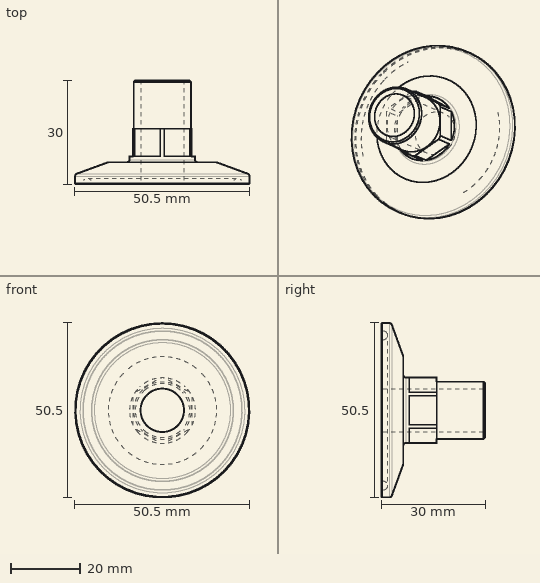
import cadquery as cq
import math


total_length = 30.0
bore_diameter = 12.5

flange_radius = 50.5 / 2
rim_height = 2.85
flange_height = 6.35
cone_angle = 20.0
rim_fillet = 0.8
face_edge_chamfer = 0.25

groove_radius = 43.5 / 2
groove_depth = 1.75
groove_wall_angle = 70.0
groove_bottom_radius = 1.25
groove_lip_radius = 0.8

collar_radius = 19.0 / 2
collar_fillet = 0.75
hex_across_flats = 17.0
hex_start = 8.0
hex_end = 16.0

spigot_radius = 16.66 / 2
spigot_chamfer = 0.5


def make_flange():
    """Disc with a conical back, a rounded rim and a chamfered face edge."""
    cone_run = (flange_height - rim_height) / math.tan(math.radians(cone_angle))
    cone_top_radius = flange_radius - cone_run

    turn = math.radians(90.0 - cone_angle)
    rim_tangent = rim_height - rim_fillet * math.tan(turn / 2)
    centre_radius = flange_radius - rim_fillet
    arc_mid = (
        rim_tangent + rim_fillet * math.sin(turn / 2),
        centre_radius + rim_fillet * math.cos(turn / 2),
    )
    arc_end = (
        rim_tangent + rim_fillet * math.sin(turn),
        centre_radius + rim_fillet * math.cos(turn),
    )
    return (
        cq.Workplane("YZ")
        .moveTo(0, 0)
        .lineTo(0, flange_radius - face_edge_chamfer)
        .lineTo(face_edge_chamfer, flange_radius)
        .lineTo(rim_tangent, flange_radius)
        .threePointArc(arc_mid, arc_end)
        .lineTo(flange_height, cone_top_radius)
        .lineTo(flange_height, 0)
        .close()
        .revolve(360, (0, 0, 0), (1, 0, 0))
    )


def make_collar():
    """Round collar with a concave fillet running out onto the flange back."""
    fillet_end = flange_height + collar_fillet
    fillet_outer = collar_radius + collar_fillet
    arc_offset = collar_fillet * (1 - math.sqrt(0.5))
    return (
        cq.Workplane("YZ")
        .moveTo(0, 0)
        .lineTo(0, fillet_outer)
        .lineTo(flange_height, fillet_outer)
        .threePointArc(
            (flange_height + arc_offset, collar_radius + arc_offset),
            (fillet_end, collar_radius),
        )
        .lineTo(hex_end, collar_radius)
        .lineTo(hex_end, 0)
        .close()
        .revolve(360, (0, 0, 0), (1, 0, 0))
    )


def make_flat_cutter():
    """Ring that trims the collar to a hexagon with two flats square to X."""
    hex_corner_diameter = hex_across_flats / math.cos(math.radians(30))
    hex_length = hex_end - hex_start
    hex_end_plane = cq.Workplane("XZ", origin=(0, hex_end, 0))
    blank = hex_end_plane.circle(hex_corner_diameter).extrude(hex_length)
    hexagon = (
        hex_end_plane
        .transformed(rotate=(0, 0, 30))
        .polygon(6, hex_corner_diameter)
        .extrude(hex_length)
    )
    return blank.cut(hexagon)


def make_spigot():
    """Plain round spigot with a chamfered free end."""
    return (
        cq.Workplane("XZ")
        .circle(spigot_radius)
        .extrude(-total_length)
        .faces(">Y")
        .chamfer(spigot_chamfer)
    )


def make_groove():
    """Round-bottomed ring groove with sloped walls and rounded lips."""
    slope = math.radians(groove_wall_angle)
    half_slope = slope / 2

    wall_depth = groove_depth - (groove_bottom_radius + groove_lip_radius) * (1 - math.cos(slope))
    wall_run = wall_depth / math.tan(slope)

    bottom_offset = groove_bottom_radius * math.sin(slope)
    bottom_level = groove_depth - groove_bottom_radius * (1 - math.cos(slope))
    lip_offset = bottom_offset + wall_run
    lip_level = groove_lip_radius * (1 - math.cos(slope))
    edge_offset = lip_offset + groove_lip_radius * math.sin(slope)
    lip_mid_offset = edge_offset - groove_lip_radius * math.sin(half_slope)
    lip_mid_level = groove_lip_radius * (1 - math.cos(half_slope))

    return (
        cq.Workplane("YZ")
        .moveTo(0, groove_radius - edge_offset)
        .threePointArc((lip_mid_level, groove_radius - lip_mid_offset), (lip_level, groove_radius - lip_offset))
        .lineTo(bottom_level, groove_radius - bottom_offset)
        .threePointArc((groove_depth, groove_radius), (bottom_level, groove_radius + bottom_offset))
        .lineTo(lip_level, groove_radius + lip_offset)
        .threePointArc((lip_mid_level, groove_radius + lip_mid_offset), (0, groove_radius + edge_offset))
        .close()
        .revolve(360, (0, 0, 0), (1, 0, 0))
    )


def make_bore():
    """Through hole along the axis."""
    return cq.Workplane("XZ").circle(bore_diameter / 2).extrude(-total_length)


collar = make_collar().cut(make_flat_cutter())
body = make_flange().union(collar).union(make_spigot())
result = body.cut(make_groove()).cut(make_bore())